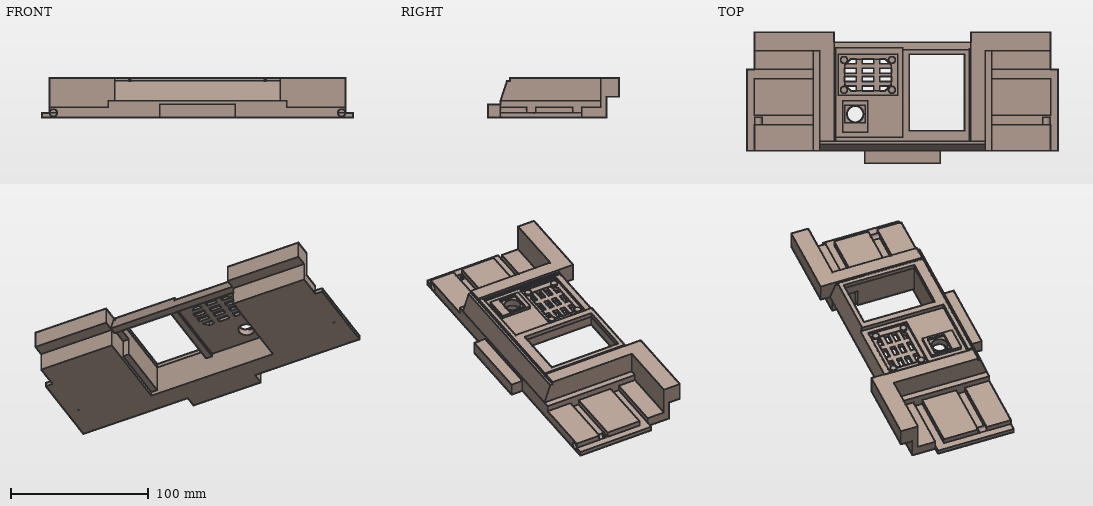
import cadquery as cq
TOTAL_LENGTH = 225.8
TOP_Z = 28.7
BACK_Y = 86.0

FLANGE_TOP = 3.5
FLANGE_BACK = 59.2
PAD_TOP = 7.5
PAD_HALF_SPAN = 107.5
CHANNEL_WIDTH = 6.8
FRONT_PAD_BACK = 19.0
MIDDLE_PAD_FRONT = FRONT_PAD_BACK + CHANNEL_WIDTH
MIDDLE_PAD_BACK = FLANGE_BACK - CHANNEL_WIDTH

STEP_TOP = 12.2
STEP_HALF_SPAN = 64.8
ARM_OUTER = 60.0
ARM_INNER = 49.7
ARM_TOP_FRONT = 6.8
WALL_FRONT = 72.7
WALL_BACK = 77.0
OVERHANG_BOTTOM = 15.0

LEDGE_Z = 26.6
SLOPE_TOP_Y = 4.7
BRIDGE_BACK_TOP = 73.5
BRIDGE_BACK_BOTTOM = 78.8

FRONT_OUTLINE = [
    (0, 0),
    (0, STEP_TOP),
    (SLOPE_TOP_Y, LEDGE_Z),
    (ARM_TOP_FRONT, LEDGE_Z),
    (ARM_TOP_FRONT, TOP_Z),
]

SEAT_Z = 25.3
SEAT_HALF_SPAN = 48.5
STRIP_BACK = 10.0

WINDOW_LEFT = 5.0
WINDOW_RIGHT = 45.0
WINDOW_FRONT = 14.7
WINDOW_BACK = 70.0

ROOF_Z = 17.8
PANEL_BOTTOM = 20.3

SPEAKER_CENTER = (-25.0, 55.0)
SPEAKER_LENGTH = 43.4
SPEAKER_WIDTH = 29.8
SPEAKER_FLOOR = 23.5
BOSS_SPACING_X = 34.8
BOSS_SPACING_Y = 21.7
BOSS_RADIUS = 2.5
BOSS_HEIGHT = 1.4
GRILLE_LENGTH = 33.9
GRILLE_WIDTH = 23.0
GRILLE_CHAMFER = 4.5
GRILLE_DEPTH = 0.5
UPRIGHT_SPACING = 12.6
UPRIGHT_WIDTH = 4.5
RAIL_SPACING = 6.44
OUTER_RAIL_WIDTH = 3.5
MIDDLE_RAIL_WIDTH = 2.7

BUTTON_CENTER = (-34.3, 26.6)
BUTTON_BORE_RADIUS = 5.9
BUTTON_WELL_LENGTH = 15.0
BUTTON_WELL_WIDTH = 12.9
BUTTON_WELL_FLOOR = 25.7
BLOCK_LEFT = -43.4
BLOCK_RIGHT = -25.0
BLOCK_FRONT = 13.3
BLOCK_BACK = 36.4
BLOCK_TOP = 27.3

TAB_HALF_SPAN = 27.5
TAB_DEPTH = 9.0
TAB_TOP = 9.5
PIN_HOLE_X = 104.5
PIN_HOLE_Z = FLANGE_TOP
PIN_HOLE_RADIUS = 2.7
PIN_HOLE_DEPTH = 24.5


def box(x0, x1, y0, y1, z0, z1):
    """Box between two opposite corners."""
    return cq.Workplane("XY").box(x1 - x0, y1 - y0, z1 - z0, centered=False).translate((x0, y0, z0))


def centered_box(center, length, width, z0, z1):
    """Box centred on a point of the XY plane."""
    x, y = center
    return box(x - length / 2, x + length / 2, y - width / 2, y + width / 2, z0, z1)


def extrude_profile(points, x0, x1):
    """Extrude a YZ outline from x0 to x1."""
    return cq.Workplane("YZ", origin=(x0, 0, 0)).polyline(points).close().extrude(x1 - x0)


def right_side():
    """Flange, pads and L-shaped wall on the +X side."""
    side = box(ARM_INNER, TOTAL_LENGTH / 2, 0, FLANGE_BACK, 0, FLANGE_TOP)
    pads = [(0, FRONT_PAD_BACK), (MIDDLE_PAD_FRONT, MIDDLE_PAD_BACK)]
    for front, back in pads:
        side = side.union(box(ARM_INNER, PAD_HALF_SPAN, front, back, 0, PAD_TOP))
    side = side.union(box(ARM_INNER, PAD_HALF_SPAN, FLANGE_BACK, WALL_BACK, 0, PAD_TOP))
    side = side.union(box(ARM_INNER, STEP_HALF_SPAN, 0, WALL_BACK, 0, STEP_TOP))

    arm_outline = [*FRONT_OUTLINE, (WALL_BACK, TOP_Z), (WALL_BACK, 0)]
    side = side.union(extrude_profile(arm_outline, ARM_INNER, ARM_OUTER))
    side = side.union(box(ARM_INNER, PAD_HALF_SPAN, WALL_FRONT, WALL_BACK, 0, TOP_Z))
    side = side.union(box(ARM_INNER, PAD_HALF_SPAN, WALL_FRONT, BACK_Y, OVERHANG_BOTTOM, TOP_Z))

    pin_hole = (
        cq.Workplane("XZ")
        .center(PIN_HOLE_X, PIN_HOLE_Z)
        .circle(PIN_HOLE_RADIUS)
        .extrude(-PIN_HOLE_DEPTH)
    )
    return side.cut(pin_hole)


def bridge():
    """Hollow middle between the arms, closed at the front and open at the back and below."""
    outline = [
        *FRONT_OUTLINE,
        (BRIDGE_BACK_TOP, TOP_Z),
        (BRIDGE_BACK_BOTTOM, OVERHANG_BOTTOM),
        (WALL_FRONT, OVERHANG_BOTTOM),
        (WALL_FRONT, ROOF_Z),
        (WINDOW_FRONT, ROOF_Z),
        (WINDOW_FRONT, 0),
    ]
    body = extrude_profile(outline, -ARM_INNER, ARM_INNER)

    bezel_seat = box(-SEAT_HALF_SPAN, SEAT_HALF_SPAN, ARM_TOP_FRONT, BRIDGE_BACK_TOP, SEAT_Z, TOP_Z)
    panel_seat = box(-SEAT_HALF_SPAN, 0, ARM_TOP_FRONT, BACK_Y, SEAT_Z, TOP_Z)
    body = body.cut(bezel_seat).cut(panel_seat)
    for left, right in [(-ARM_INNER, -SEAT_HALF_SPAN), (SEAT_HALF_SPAN, ARM_INNER)]:
        body = body.cut(box(left, right, ARM_TOP_FRONT, BACK_Y, LEDGE_Z, TOP_Z))

    panel_hollow = box(-ARM_INNER, 0, WINDOW_FRONT, WINDOW_BACK, ROOF_Z, PANEL_BOTTOM)

    window_rib = box(WINDOW_RIGHT, ARM_INNER, WINDOW_FRONT, FLANGE_BACK, FLANGE_TOP, ROOF_Z)
    return body.cut(panel_hollow).union(window_rib)


def window():
    """Opening through the bridge and the bezel."""
    return box(WINDOW_LEFT, WINDOW_RIGHT, WINDOW_FRONT, WINDOW_BACK, 0, TOP_Z)


def grille_bars():
    """Two uprights and three rails spanning the grille opening."""
    x, y = SPEAKER_CENTER
    top = SPEAKER_FLOOR - GRILLE_DEPTH
    bars = centered_box(SPEAKER_CENTER, GRILLE_LENGTH, MIDDLE_RAIL_WIDTH, PANEL_BOTTOM, top)
    for sign in (-1, 1):
        upright_center = (x + sign * UPRIGHT_SPACING / 2, y)
        rail_center = (x, y + sign * RAIL_SPACING)
        bars = bars.union(centered_box(upright_center, UPRIGHT_WIDTH, GRILLE_WIDTH, PANEL_BOTTOM, top))
        bars = bars.union(centered_box(rail_center, GRILLE_LENGTH, OUTER_RAIL_WIDTH, PANEL_BOTTOM, top))
    return bars


def add_speaker(body):
    """Recess with a barred opening and a round boss in each corner."""
    recess = centered_box(SPEAKER_CENTER, SPEAKER_LENGTH, SPEAKER_WIDTH, SPEAKER_FLOOR, SEAT_Z)
    opening = centered_box(SPEAKER_CENTER, GRILLE_LENGTH, GRILLE_WIDTH, PANEL_BOTTOM, SPEAKER_FLOOR)
    opening = opening.edges("|Z").chamfer(GRILLE_CHAMFER)
    bosses = (
        cq.Workplane("XY", origin=(*SPEAKER_CENTER, PANEL_BOTTOM))
        .rarray(BOSS_SPACING_X, BOSS_SPACING_Y, 2, 2)
        .circle(BOSS_RADIUS)
        .extrude(SPEAKER_FLOOR + BOSS_HEIGHT - PANEL_BOTTOM)
    )
    bars = grille_bars().intersect(opening)
    return body.cut(recess).cut(opening).union(bars).union(bosses)


def add_button_block(body):
    """Raised block with a square well and a round bore."""
    block = box(BLOCK_LEFT, BLOCK_RIGHT, BLOCK_FRONT, BLOCK_BACK, SEAT_Z, BLOCK_TOP)
    well = centered_box(
        BUTTON_CENTER, BUTTON_WELL_LENGTH, BUTTON_WELL_WIDTH, BUTTON_WELL_FLOOR, BLOCK_TOP
    )
    bore = cq.Workplane("XY").center(*BUTTON_CENTER).circle(BUTTON_BORE_RADIUS).extrude(TOP_Z)
    return body.union(block).cut(well).cut(bore)


def make_housing():
    """Bridge, mirrored sides, front tab and the control panel features."""
    side = right_side()
    body = bridge().union(side).union(side.mirror("YZ"))
    body = body.union(box(-TAB_HALF_SPAN, TAB_HALF_SPAN, -TAB_DEPTH, 0, 0, TAB_TOP))
    body = body.cut(window())
    body = add_speaker(body)
    return add_button_block(body)


def make_bezel():
    """L-shaped frame: a window surround with a strip along the front of the panel."""
    surround = box(0, SEAT_HALF_SPAN, ARM_TOP_FRONT, BRIDGE_BACK_TOP, SEAT_Z, TOP_Z)
    strip = box(-SEAT_HALF_SPAN, 0, ARM_TOP_FRONT, STRIP_BACK, SEAT_Z, TOP_Z)
    return surround.union(strip).cut(window())


housing = make_housing()
bezel = make_bezel()
result = cq.Compound.makeCompound([*housing.solids().vals(), *bezel.solids().vals()])